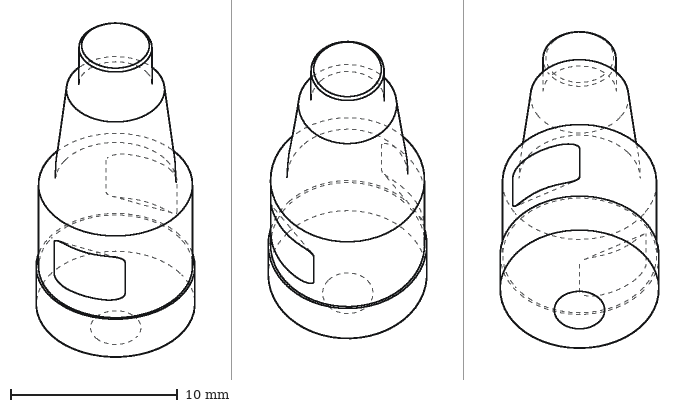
import cadquery as cq
import math

HEAD_RADIUS = 4.77
CONE_SLOPE = math.radians(30)
CONE_HEIGHT = HEAD_RADIUS * math.tan(CONE_SLOPE)
HEAD_TOP = 5.8
TIP_HEIGHT = 0.87
TIP_RADIUS = TIP_HEIGHT / math.tan(CONE_SLOPE)

COLLAR_RADIUS = 4.63
COLLAR_TOP = 12.4
COLLAR_FILLET = 0.28
TAPER_BASE_RADIUS = 3.63
TAPER_START = 14.47
TAPER_TOP = 20.08
TAPER_ANGLE = math.radians(6)
STUD_RADIUS = 2.2
STUD_FILLET = 0.47
STUD_CHAMFER = 0.17
TOTAL_HEIGHT = 23.6

FLAT_DISTANCE = 4.01
FLAT_HEIGHT = 3.55
FLAT_CENTER = 8.97
FLAT_FILLET = 0.5


def make_tip():
    """Separate conical tip with its apex at the origin."""
    return (
        cq.Workplane("XZ")
        .lineTo(TIP_RADIUS, TIP_HEIGHT)
        .lineTo(0, TIP_HEIGHT)
        .close()
        .revolve(360, (0, 0, 0), (0, 1, 0))
    )


def make_turned_body():
    """Body as turned: truncated cone, head, collar, tangent curve into the taper, and stud."""
    curve_start = COLLAR_TOP + COLLAR_FILLET
    curve_radius = (TAPER_START - curve_start) / math.sin(TAPER_ANGLE)
    taper_start_radius = TAPER_BASE_RADIUS - curve_radius * (1 - math.cos(TAPER_ANGLE))
    taper_top_radius = taper_start_radius - (TAPER_TOP - TAPER_START) * math.tan(TAPER_ANGLE)
    return (
        cq.Workplane("XZ")
        .moveTo(0, TIP_HEIGHT)
        .lineTo(TIP_RADIUS, TIP_HEIGHT)
        .lineTo(HEAD_RADIUS, CONE_HEIGHT)
        .lineTo(HEAD_RADIUS, HEAD_TOP)
        .lineTo(COLLAR_RADIUS, HEAD_TOP)
        .lineTo(COLLAR_RADIUS, COLLAR_TOP)
        .lineTo(TAPER_BASE_RADIUS + COLLAR_FILLET, COLLAR_TOP)
        .radiusArc((TAPER_BASE_RADIUS, curve_start), COLLAR_FILLET)
        .radiusArc((taper_start_radius, TAPER_START), -curve_radius)
        .lineTo(taper_top_radius, TAPER_TOP)
        .lineTo(STUD_RADIUS + STUD_FILLET, TAPER_TOP)
        .radiusArc((STUD_RADIUS, TAPER_TOP + STUD_FILLET), STUD_FILLET)
        .lineTo(STUD_RADIUS, TOTAL_HEIGHT - STUD_CHAMFER)
        .lineTo(STUD_RADIUS - STUD_CHAMFER, TOTAL_HEIGHT)
        .lineTo(0, TOTAL_HEIGHT)
        .close()
        .revolve(360, (0, 0, 0), (0, 1, 0))
    )


def make_flat_cutter(side):
    """Block that cuts one wrench flat; side is -1 or 1 along Y."""
    depth = HEAD_RADIUS - FLAT_DISTANCE
    inner_face = "<Y" if side > 0 else ">Y"
    return (
        cq.Workplane("XY")
        .box(2 * HEAD_RADIUS, depth, FLAT_HEIGHT)
        .faces(inner_face)
        .edges("|X")
        .fillet(FLAT_FILLET)
        .translate((0, side * (FLAT_DISTANCE + depth / 2), FLAT_CENTER))
    )


tip = make_tip()

body = make_turned_body()
for side in (-1, 1):
    body = body.cut(make_flat_cutter(side))

result = cq.Compound.makeCompound([tip.val(), *body.vals()])